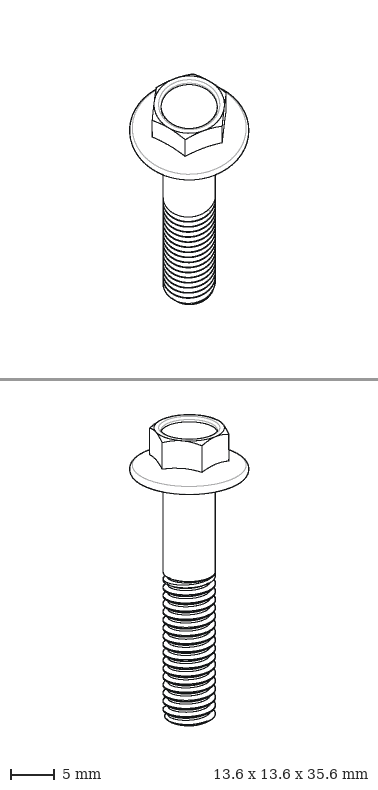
import cadquery as cq
import math

total_length = 35.63
head_height = 5.63
shank_length = total_length - head_height
shank_radius = 6.0 / 2
shank_fillet = 0.2

flange_radius = 6.8
rim_radius = 0.552
cone_angle = math.radians(25.5)

across_flats = 8.0
across_corners = across_flats / math.cos(math.radians(30))
corner_chamfer_drop = 0.43

recess_radius = 6.4 / 2
recess_depth = 0.57
lip_radius = 0.3

pitch = 1.0
thread_turns = 18
thread_depth = 0.55
root_width = pitch / 4
flank_slope = math.tan(math.radians(30))
runout_turns = 0.5
runout_end_width = 0.05
groove_overshoot = 0.18
tip_radius = 2.55
tip_chamfer_height = 0.35
points_per_turn = 16


def make_shank():
    """Plain round shank with a chamfered tip and a fillet below the flange."""
    fillet_start = shank_length - shank_fillet
    fillet_center_r = shank_radius + shank_fillet
    fillet_mid = shank_fillet * math.sqrt(0.5)
    return (
        cq.Workplane("XZ")
        .lineTo(tip_radius, 0)
        .lineTo(shank_radius, tip_chamfer_height)
        .lineTo(shank_radius, fillet_start)
        .threePointArc(
            (fillet_center_r - fillet_mid, fillet_start + fillet_mid),
            (fillet_center_r, shank_length),
        )
        .lineTo(0, shank_length)
        .close()
        .revolve(360, (0, 0, 0), (0, 1, 0))
    )


def make_flange():
    """Conical flange with a flat underside and a rounded rim."""
    rim_center_r = flange_radius - rim_radius
    rim_center_z = shank_length + rim_radius
    cone_r = rim_center_r + rim_radius * math.sin(cone_angle)
    cone_z = rim_center_z + rim_radius * math.cos(cone_angle)
    top_r = across_flats / 2 - 0.35
    top_z = cone_z + (cone_r - top_r) * math.tan(cone_angle)
    return (
        cq.Workplane("XZ")
        .moveTo(0, shank_length)
        .lineTo(rim_center_r, shank_length)
        .threePointArc((flange_radius, rim_center_z), (cone_r, cone_z))
        .lineTo(top_r, top_z)
        .lineTo(0, top_z)
        .close()
        .revolve(360, (0, 0, 0), (0, 1, 0))
    )


def make_hexagon():
    """Hexagonal drive with corners on the X axis, chamfered by a cone."""
    hexagon = (
        cq.Workplane("XY")
        .workplane(offset=shank_length)
        .polygon(6, across_corners)
        .extrude(head_height)
    )
    top_r = across_flats / 2
    corner_r = across_corners / 2
    envelope = (
        cq.Workplane("XZ")
        .moveTo(0, shank_length)
        .lineTo(corner_r, shank_length)
        .lineTo(corner_r, total_length - corner_chamfer_drop)
        .lineTo(top_r, total_length)
        .lineTo(0, total_length)
        .close()
        .revolve(360, (0, 0, 0), (0, 1, 0))
    )
    return hexagon.intersect(envelope)


def make_recess():
    """Volume of the head recess, flaring outward around its lip."""
    lip_bottom = total_length - lip_radius
    lip_outer_r = recess_radius + lip_radius
    lip_mid = lip_radius * math.sqrt(0.5)
    return (
        cq.Workplane("XZ")
        .moveTo(0, total_length - recess_depth)
        .lineTo(recess_radius, total_length - recess_depth)
        .lineTo(recess_radius, lip_bottom)
        .threePointArc(
            (lip_outer_r - lip_mid, lip_bottom + lip_mid), (lip_outer_r, total_length)
        )
        .lineTo(0, total_length)
        .close()
        .revolve(360, (0, 0, 0), (0, 1, 0))
    )


def make_groove(start_turn, end_turn, end_lift=0, narrowing=0):
    """Groove cutter between two turns; rising by end_lift and narrowing toward its end.

    Turn 0 lies at Z = 0 on the -X side.
    """
    root_r = shank_radius - thread_depth
    outer_r = shank_radius + groove_overshoot
    root_half = root_width / 2
    outer_half = root_half + (outer_r - root_r) * flank_slope
    corners = [
        (root_r, -root_half),
        (outer_r, -outer_half),
        (outer_r, outer_half),
        (root_r, root_half),
    ]
    steps = math.ceil((end_turn - start_turn) * points_per_turn)
    rails = []
    for corner_r, corner_z in corners:
        points = []
        for step in range(steps + 1):
            progress = step / steps
            turn = start_turn + (end_turn - start_turn) * progress
            angle = math.pi + 2 * math.pi * turn
            r = corner_r + end_lift * progress
            z = corner_z - math.copysign(narrowing / 2 * progress, corner_z) + pitch * turn
            points.append(cq.Vector(r * math.cos(angle), r * math.sin(angle), z))
        rails.append(cq.Edge.makeSpline(points))

    faces = [cq.Face.makeRuledSurface(rails[i - 1], rails[i]) for i in range(len(rails))]
    for end in (0, 1):
        section = [rail.positionAt(end) for rail in rails]
        faces.append(cq.Face.makeFromWires(cq.Wire.makePolygon(section, close=True)))
    return cq.Workplane(cq.Solid.makeSolid(cq.Shell.makeShell(faces)))


bolt = make_shank().union(make_flange()).union(make_hexagon()).cut(make_recess())

runout_start = thread_turns - runout_turns
bolt = bolt.cut(make_groove(-1, runout_start))
runout_narrowing = root_width - runout_end_width
result = bolt.cut(make_groove(runout_start, thread_turns, thread_depth, runout_narrowing))